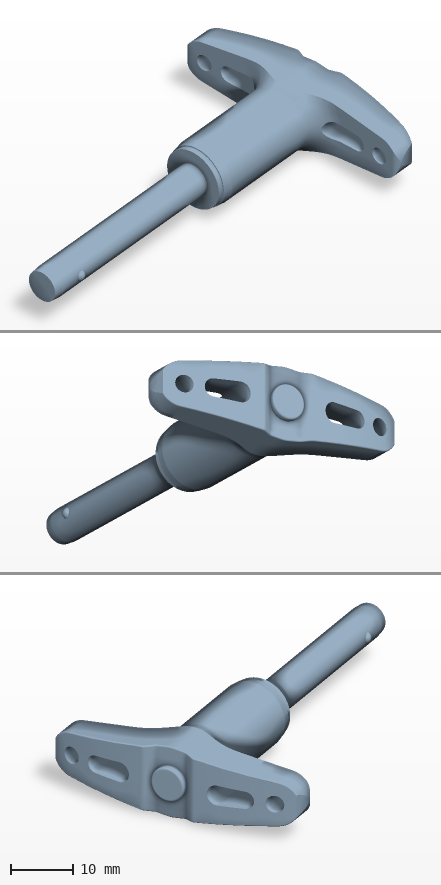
import cadquery as cq
import math


pin_radius = 3.0
pin_length = 37.1
tip_length = 1.8
tip_radius = 2.8

ball_radius = 1.0
ball_reach = 3.5
ball_y = -30.85

sleeve_radius = 5.95
collar_radius = 5.5
collar_length = 1.0
taper_top = 2.7
taper_radius = 5.7
flare_start = 20.4
flare_radius = 4.2
flare_top = flare_start + flare_radius
flare_outer_radius = sleeve_radius + flare_radius

button_top = 31.5
button_radius = 3.0
button_round = 0.4
button_base_y = 29.3

hub_radius = 6.32
end_radius = 4.0
handle_half_length = 22.6
end_center_x = handle_half_length - end_radius

underside_end_y = 24.05
end_face_widest_y = 25.15
end_face_slope = 0.18
end_corner_radius = 1.0
crown_top = 31.3
crown_center_x = 2.6
crown_radius = 66.0
dip_y = 30.3
dip_floor_half_width = 2.7
dip_half_width = 4.5
dip_round = 1.5
rim_round = 0.25

end_hole_radius = 1.5
slot_inner_x = 8.9
slot_inner_radius = 1.77
slot_outer_x = 13.65
slot_outer_radius = 1.55


def crown_height(x):
    """Y of the crowned handle top at distance x from the pin axis."""
    return crown_top - crown_radius + math.sqrt(crown_radius**2 - (x - crown_center_x) ** 2)


def end_face_x(y):
    """X of the slanted end face; it just touches the rounded end at its widest level."""
    return handle_half_length - end_face_slope * (y - end_face_widest_y)


def tangent_prism(x_a, radius_a, x_b, radius_b):
    """Prism along Y around two circles on the X axis (x_a < x_b) and their common tangents."""
    lean = (radius_a - radius_b) / (x_b - x_a)
    rise = math.sqrt(1 - lean**2)
    start_x = x_a + radius_a * lean
    start_z = radius_a * rise
    finish_x = x_b + radius_b * lean
    finish_z = radius_b * rise
    return (
        cq.Workplane("XZ")
        .moveTo(start_x, start_z)
        .lineTo(finish_x, finish_z)
        .threePointArc((x_b + radius_b, 0), (finish_x, -finish_z))
        .lineTo(start_x, -start_z)
        .threePointArc((x_a - radius_a, 0), (start_x, start_z))
        .close()
        .extrude(-button_top)
    )


def mirrored(half):
    """Join a solid on the +X side with its mirror image."""
    return half.union(half.mirror("YZ"))


def handle_outline():
    """Bar outline: a wide hub narrowing to two rounded ends."""
    return mirrored(tangent_prism(0, hub_radius, end_center_x, end_radius))


def handle_profile():
    """Side profile of the bar: crowned top with a central dip, underside falling slightly to the ends.

    It is wider along Z than the bar, so that the outline alone sets the bar's sides.
    """
    end_bottom_x = end_face_x(underside_end_y)
    end_top_x = end_face_x(crown_height(handle_half_length))
    crown_middle_x = (dip_half_width + end_top_x) / 2
    crest_y = crown_height(dip_half_width)
    half = (
        cq.Workplane("XY")
        .moveTo(0, flare_top)
        .lineTo(flare_outer_radius, flare_top)
        .lineTo(end_bottom_x, underside_end_y)
        .lineTo(end_top_x, crown_height(end_top_x))
        .threePointArc((crown_middle_x, crown_height(crown_middle_x)), (dip_half_width, crest_y))
        .lineTo(dip_floor_half_width, dip_y)
        .lineTo(0, dip_y)
        .close()
        .extrude(2 * hub_radius, both=True)
    )

    def upright_edge(x, y):
        """Edge along Z through the point (x, y)."""
        return cq.selectors.NearestToPointSelector((x, y, 0))

    half = half.edges(upright_edge(end_bottom_x, underside_end_y)).fillet(end_corner_radius)
    half = half.edges(upright_edge(dip_half_width, crest_y)).fillet(dip_round)
    half = half.edges(upright_edge(dip_floor_half_width, dip_y)).fillet(dip_round)
    return mirrored(half)


def flare():
    """Round blend from the sleeve into the handle, wider than the handle outline along Z."""
    arc_middle = (
        flare_outer_radius - flare_radius * math.cos(math.pi / 4),
        flare_start + flare_radius * math.sin(math.pi / 4),
    )
    return (
        cq.Workplane("XY")
        .moveTo(0, flare_start)
        .lineTo(sleeve_radius, flare_start)
        .threePointArc(arc_middle, (flare_outer_radius, flare_top))
        .lineTo(0, flare_top)
        .close()
        .revolve(360, (0, 0, 0), (0, 1, 0))
    )


class RimSelector(cq.Selector):
    """Edges around the top of the bar, skipping those that run across it along Z."""

    def filter(self, edges):
        rim = []
        for edge in edges:
            box = edge.BoundingBox()
            near_top = box.ymin > end_face_widest_y + end_corner_radius
            if near_top and box.xlen > box.zlen:
                rim.append(edge)
        return rim


def handle():
    """T-handle bar blended into the sleeve, with its top rim rounded."""
    bar = handle_profile().union(flare()).intersect(handle_outline())
    return bar.edges(RimSelector()).fillet(rim_round)


def spindle():
    """Turned core: pin, collar, sleeve and release button."""
    return (
        cq.Workplane("XY")
        .moveTo(0, -pin_length)
        .lineTo(tip_radius, -pin_length)
        .lineTo(pin_radius, tip_length - pin_length)
        .lineTo(pin_radius, 0)
        .lineTo(collar_radius, 0)
        .lineTo(collar_radius, collar_length)
        .lineTo(taper_radius, collar_length)
        .lineTo(sleeve_radius, taper_top)
        .lineTo(sleeve_radius, button_base_y)
        .lineTo(button_radius, button_base_y)
        .lineTo(button_radius, button_top - button_round)
        .radiusArc((button_radius - button_round, button_top), -button_round)
        .lineTo(0, button_top)
        .close()
        .revolve(360, (0, 0, 0), (0, 1, 0))
    )


def locking_balls():
    """Two balls standing proud of the pin on opposite sides."""
    ball = cq.Workplane("XY").sphere(ball_radius)
    return mirrored(ball.translate((ball_reach - ball_radius, ball_y, 0)))


def handle_openings():
    """Round end holes and tapered slots through the bar."""
    hole = cq.Workplane("XZ").center(end_center_x, 0).circle(end_hole_radius).extrude(-button_top)
    slot = tangent_prism(slot_inner_x, slot_inner_radius, slot_outer_x, slot_outer_radius)
    return mirrored(hole.union(slot))


result = handle().cut(handle_openings()).union(spindle()).union(locking_balls())